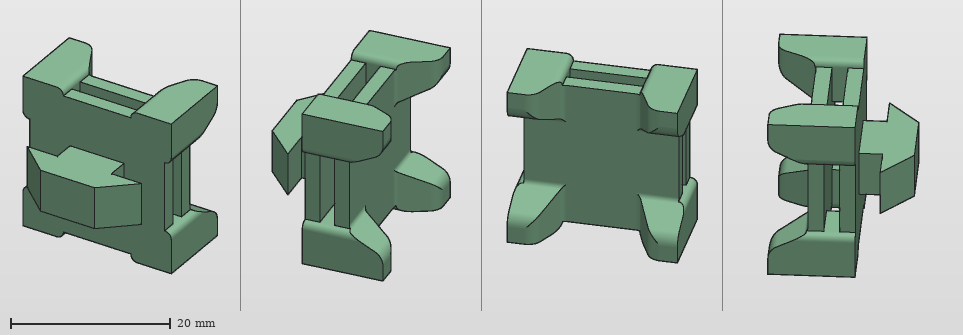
import cadquery as cq

SIDE = 22.0
DEPTH = 11.0
HALF = SIDE / 2

NOTCH_WIDTH = 9.99
NOTCH_DEPTH = 1.0
NOTCH_RADIUS = NOTCH_DEPTH

CHANNEL_FLOOR = 6.0
CHANNEL_WALL_SLOPE = 2.0
CHANNEL_TOP_RADIUS = 2.0
CHANNEL_FLOOR_RADIUS = 0.75

SLOT_START = 2.0
SLOT_END = 4.0

HOOK_HEIGHT = 6.0
STEM_HALF_WIDTH = 4.0
STEM_LENGTH = 3.0
BARB_HALF_WIDTH = 8.5
HOOK_LENGTH = 7.0

CENTER = (0, 0, 0)
Y_AXIS_END = (0, 1, 0)


def turned(shape):
    """Turn a shape a quarter turn about the Y axis, from along Z to along X."""
    return shape.rotate(CENTER, Y_AXIS_END, 90)


def edge_notches():
    """Pair of rounded notches cut into the +Z and -Z edges."""
    notches = cq.Workplane("XY")
    for sign in (1, -1):
        inner = HALF - NOTCH_DEPTH
        half_width = NOTCH_WIDTH / 2
        notch = (
            cq.Workplane("XZ")
            .moveTo(-half_width, sign * inner)
            .lineTo(half_width, sign * inner)
            .radiusArc((half_width + NOTCH_RADIUS, sign * HALF), sign * NOTCH_RADIUS)
            .lineTo(-half_width - NOTCH_RADIUS, sign * HALF)
            .radiusArc((-half_width, sign * inner), sign * NOTCH_RADIUS)
            .close()
            .extrude(-DEPTH)
        )
        notches = notches.add(notch)
    return notches.combine()


def channeled_block():
    """Block along Z with the sloped channel in its back face."""
    half_floor = NOTCH_WIDTH / 2
    half_top = half_floor + (DEPTH - CHANNEL_FLOOR) / CHANNEL_WALL_SLOPE
    block = (
        cq.Workplane("XY")
        .polyline([
            (-HALF, 0),
            (HALF, 0),
            (HALF, DEPTH),
            (half_top, DEPTH),
            (half_floor, CHANNEL_FLOOR),
            (-half_floor, CHANNEL_FLOOR),
            (-half_top, DEPTH),
            (-HALF, DEPTH),
        ])
        .close()
        .extrude(HALF, both=True)
    )
    for half_width, y, radius in (
        (half_top, DEPTH, CHANNEL_TOP_RADIUS),
        (half_floor, CHANNEL_FLOOR, CHANNEL_FLOOR_RADIUS),
    ):
        for x in (-half_width, half_width):
            block = block.edges(cq.NearestToPointSelector((x, y, 0))).fillet(radius)
    return block


def cross_slot():
    """Slot through the block along Z, between the two plates."""
    thickness = SLOT_END - SLOT_START
    return cq.Workplane("XY").box(NOTCH_WIDTH, thickness, SIDE).translate(
        (0, (SLOT_START + SLOT_END) / 2, 0)
    )


def hook():
    """Stem with two swept-back barbs, standing out of the front face."""
    return (
        cq.Workplane("XY")
        .polyline([
            (-STEM_HALF_WIDTH, 0),
            (-STEM_HALF_WIDTH, -STEM_LENGTH),
            (-BARB_HALF_WIDTH, -STEM_LENGTH),
            (-STEM_HALF_WIDTH, -HOOK_LENGTH),
            (STEM_HALF_WIDTH, -HOOK_LENGTH),
            (BARB_HALF_WIDTH, -STEM_LENGTH),
            (STEM_HALF_WIDTH, -STEM_LENGTH),
            (STEM_HALF_WIDTH, 0),
        ])
        .close()
        .extrude(HOOK_HEIGHT / 2, both=True)
    )


body = channeled_block()
body = body.intersect(turned(body))

for cutter in (edge_notches(), cross_slot()):
    body = body.cut(cutter).cut(turned(cutter))

result = body.union(hook())